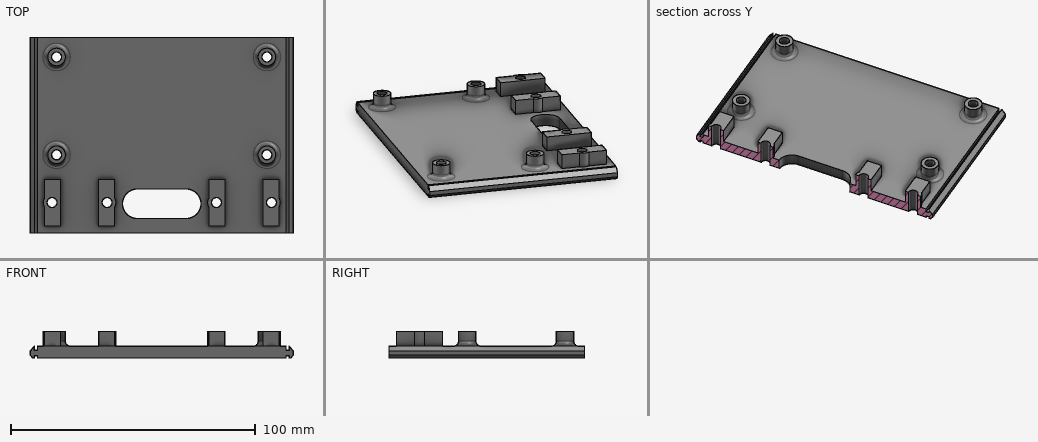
import cadquery as cq

PLATE_WIDTH = 107.6
PLATE_LENGTH = 80.0
PLATE_THICKNESS = 4.88

LIP_WIDTH = 1.7
GROOVE_WIDTH = 1.2
WEB_BOTTOM = 0.9
WEB_TOP = 3.3
LIP_FACE_BOTTOM = 1.2
LIP_FACE_TOP = 2.9
LIP_BOTTOM_BEVEL = 1.0

STANDOFF_HEIGHT = 6.0
HOLE_DIAMETER = 4.0
BOSS_DIAMETER = 7.2

POST_FILLET = 2.0
POST_X = 43.0
POST_Y_POSITIONS = (32.0, -8.0)

BLOCK_WIDTH = 6.5
BLOCK_LENGTH = 19.0
BLOCK_Y = -27.5
BLOCK_HOLE_TO_FACE = 3.0
OUTER_BLOCK_HOLE_X = 44.85
INNER_BLOCK_HOLE_X = 22.35

SLOT_LENGTH = 32.0
SLOT_WIDTH = 12.0
SLOT_CENTRE_Y = -28.0

TOTAL_HEIGHT = PLATE_THICKNESS + STANDOFF_HEIGHT


def make_plate():
    """Extrude the plate's cross-section, drawn for the +X half and mirrored."""
    edge_x = PLATE_WIDTH / 2
    lip_x = edge_x - LIP_WIDTH
    body_x = lip_x - GROOVE_WIDTH
    half_section = [
        (0, 0),
        (body_x, 0),
        (body_x, WEB_BOTTOM),
        (lip_x, WEB_BOTTOM),
        (lip_x, 0),
        (edge_x - LIP_BOTTOM_BEVEL, 0),
        (edge_x, LIP_FACE_BOTTOM),
        (edge_x, LIP_FACE_TOP),
        (lip_x, PLATE_THICKNESS),
        (lip_x, WEB_TOP),
        (body_x, WEB_TOP),
        (body_x, PLATE_THICKNESS),
        (0, PLATE_THICKNESS),
    ]
    half = cq.Workplane("XZ").polyline(half_section).close().extrude(PLATE_LENGTH / 2, both=True)
    return half.union(half.mirror("YZ"))


def vertical_cylinder(x, y, diameter, bottom, top):
    return cq.Workplane("XY", origin=(x, y, bottom)).circle(diameter / 2).extrude(top - bottom)


def make_post(x, y):
    """Round post whose foot flares out to the plate in a concave fillet."""
    radius = BOSS_DIAMETER / 2
    fillet_top = PLATE_THICKNESS + POST_FILLET
    profile = (
        cq.Workplane("XZ")
        .moveTo(0, 0)
        .lineTo(radius + POST_FILLET, 0)
        .lineTo(radius + POST_FILLET, PLATE_THICKNESS)
        .radiusArc((radius, fillet_top), POST_FILLET)
        .lineTo(radius, TOTAL_HEIGHT)
        .lineTo(0, TOTAL_HEIGHT)
        .close()
    )
    return profile.revolve(360, (0, 0, 0), (0, 1, 0)).translate((x, y, 0))


def make_block(hole_x, boss_side):
    """Block around a hole; boss_side is +1 or -1 for a boss on its +X or -X face."""
    centre_x = hole_x + boss_side * (BLOCK_HOLE_TO_FACE - BLOCK_WIDTH / 2)
    block = (
        cq.Workplane("XY", origin=(centre_x, BLOCK_Y, PLATE_THICKNESS))
        .rect(BLOCK_WIDTH, BLOCK_LENGTH)
        .extrude(STANDOFF_HEIGHT)
    )
    boss = vertical_cylinder(hole_x, BLOCK_Y, BOSS_DIAMETER, PLATE_THICKNESS, TOTAL_HEIGHT)
    boss_half = (
        cq.Workplane("XY", origin=(hole_x + boss_side * BOSS_DIAMETER / 2, BLOCK_Y, PLATE_THICKNESS))
        .rect(BOSS_DIAMETER, BOSS_DIAMETER)
        .extrude(STANDOFF_HEIGHT)
    )
    return block.union(boss.intersect(boss_half))


def make_slot():
    return (
        cq.Workplane("XY", origin=(0, SLOT_CENTRE_Y, 0))
        .slot2D(SLOT_LENGTH, SLOT_WIDTH)
        .extrude(PLATE_THICKNESS)
    )


result = make_plate()
hole_centres = []

for side in (-1, 1):
    for post_y in POST_Y_POSITIONS:
        result = result.union(make_post(side * POST_X, post_y))
        hole_centres.append((side * POST_X, post_y))

    for block_hole_x, boss_side in ((OUTER_BLOCK_HOLE_X, side), (INNER_BLOCK_HOLE_X, -side)):
        result = result.union(make_block(side * block_hole_x, boss_side))
        hole_centres.append((side * block_hole_x, BLOCK_Y))

result = result.cut(make_slot())
for hole_x, hole_y in hole_centres:
    result = result.cut(vertical_cylinder(hole_x, hole_y, HOLE_DIAMETER, 0, TOTAL_HEIGHT))